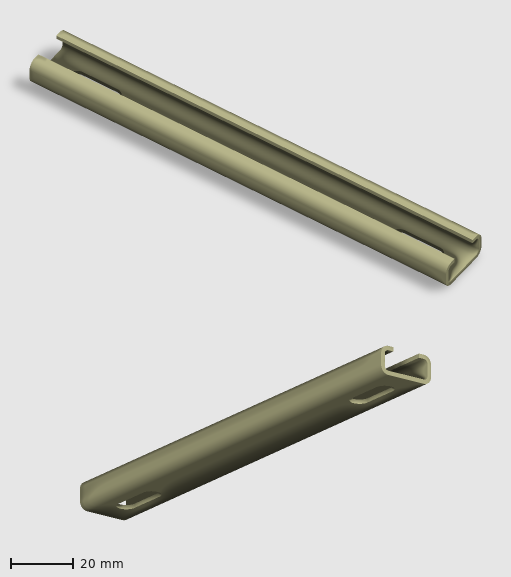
import cadquery as cq

length = 163.0
width = 20.0
height = 10.0

thickness = 1.5
outer_radius = 3.0
inner_radius = outer_radius - thickness
mouth_width = 10.3

slot_length = 20.0
slot_width = 6.5
slot_end_distance = 18.5


def rounded_bar(bar_width, bar_height, radius):
    """Full-length bar along X, centred, with its long edges rounded."""
    return cq.Workplane("XY").box(length, bar_width, bar_height).edges("|X").fillet(radius)


def lipped_channel():
    """C-shaped rail whose two lips leave a mouth along the top."""
    outside = rounded_bar(width, height, outer_radius)
    cavity = rounded_bar(width - 2 * thickness, height - 2 * thickness, inner_radius)
    mouth = cq.Workplane("XY").box(length, mouth_width, height / 2, centered=(True, True, False))
    return outside.cut(cavity).cut(mouth)


def mounting_slots():
    """Cutters for the round-ended slots, one near each end of the floor."""
    slot_x = length / 2 - slot_end_distance
    return (
        cq.Workplane("XY")
        .workplane(offset=-height / 2)
        .pushPoints([(-slot_x, 0), (slot_x, 0)])
        .slot2D(slot_length, slot_width)
        .extrude(height)
    )


result = lipped_channel().cut(mounting_slots())